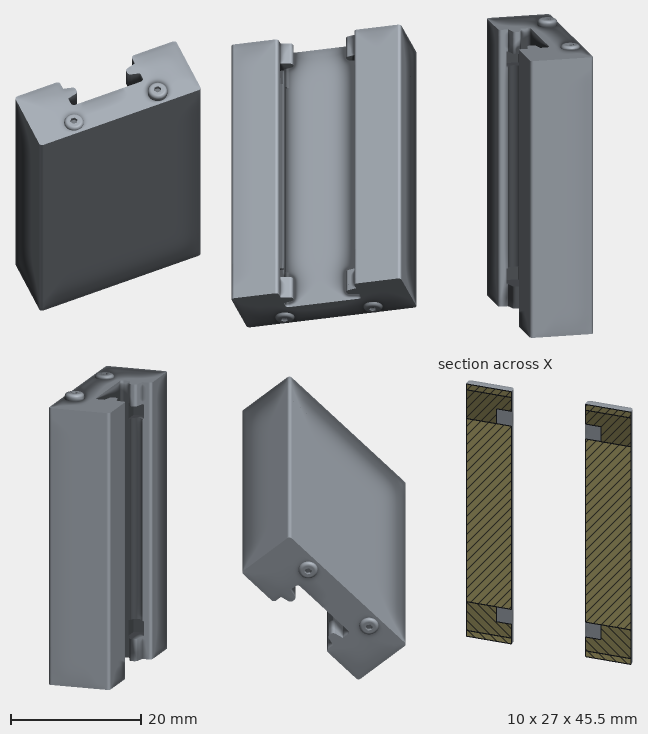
import cadquery as cq
import math

WIDTH_X = 10.0
WIDTH_Y = 27.0
TOTAL_HEIGHT = 45.5

CHANNEL_WIDTH = 12.0
CHANNEL_DEPTH = WIDTH_X / 2
CORNER_RADIUS = 0.5

HEAD_DIAMETER = 3.0
HEAD_FLAT_DIAMETER = 2.0
HEAD_ROUNDING = (HEAD_DIAMETER - HEAD_FLAT_DIAMETER) / 2
HEAD_CYLINDER = 0.5
HEAD_HEIGHT = HEAD_CYLINDER + HEAD_ROUNDING
SOCKET_SIDES = 6
SOCKET_WIDTH = 1.0
SOCKET_DEPTH = 0.5
SCREW_X = 8.0
SCREW_Y = 7.0

PLATE_THICKNESS = 1.0
CAP_THICKNESS = 5.0
CAP_INNER_LAYER = CAP_THICKNESS / 2
STACK_HEIGHT = TOTAL_HEIGHT - HEAD_HEIGHT - HEAD_ROUNDING
BLOCK_HEIGHT = STACK_HEIGHT - 2 * (CAP_THICKNESS + PLATE_THICKNESS)

TONGUE_X = 2.5
TONGUE_LENGTH = 1.77
TONGUE_BASE = 2.0
TONGUE_TAPER = 14.0
TONGUE_TIP_RADIUS = 0.55

GROOVE_DIAMETER = 2.0
POCKET_WIDTH = 2.6
POCKET_DEPTH = 2.5


def channel_edges(body, x, height):
    """The two upright edges where the channel walls meet the plane at x."""
    corners = [
        body.edges(cq.selectors.NearestToPointSelector((x, side * CHANNEL_WIDTH / 2, height / 2)))
        for side in (-1, 1)
    ]
    return corners[0].add(corners[1])


def channel_section(height):
    """Block outline with rounded corners and a channel open toward -X."""
    body = cq.Workplane("XY").box(WIDTH_X, WIDTH_Y, height, centered=(False, True, False))
    channel = cq.Workplane("XY").box(CHANNEL_DEPTH, CHANNEL_WIDTH, height, centered=(False, True, False))
    body = body.edges("|Z").fillet(CORNER_RADIUS).cut(channel)
    return channel_edges(body, 0, height).fillet(CORNER_RADIUS)


def rounded_channel_section(height):
    """Channel section whose two inner corners are rounded as well."""
    body = channel_section(height)
    return channel_edges(body, CHANNEL_DEPTH, height).fillet(CORNER_RADIUS)


def tongue(side, height):
    """Tapered tongue with a rounded tip on the channel wall at side * Y."""
    wall = side * CHANNEL_WIDTH / 2
    tip = wall - side * TONGUE_LENGTH
    half_base = TONGUE_BASE / 2
    half_tip = half_base - TONGUE_LENGTH * math.tan(math.radians(TONGUE_TAPER))
    root = wall + side * CORNER_RADIUS
    body = (
        cq.Workplane("XY")
        .polyline([
            (TONGUE_X - half_base, root),
            (TONGUE_X - half_base, wall),
            (TONGUE_X - half_tip, tip),
            (TONGUE_X + half_tip, tip),
            (TONGUE_X + half_base, wall),
            (TONGUE_X + half_base, root),
        ])
        .close()
        .extrude(height)
    )
    tip_face = "<Y" if side > 0 else ">Y"
    return body.faces(tip_face).edges("|Z").fillet(TONGUE_TIP_RADIUS)


def tongued_section(height):
    """Rounded channel section with a tongue on each channel wall."""
    body = rounded_channel_section(height)
    for side in (-1, 1):
        body = body.union(tongue(side, height))
    return body


def make_block():
    """Carriage block with a half-round ball track along each channel wall, base at z = 0."""
    tracks = (
        cq.Workplane("XY")
        .pushPoints([(TONGUE_X, -CHANNEL_WIDTH / 2), (TONGUE_X, CHANNEL_WIDTH / 2)])
        .circle(GROOVE_DIAMETER / 2)
        .extrude(BLOCK_HEIGHT)
    )
    return channel_section(BLOCK_HEIGHT).cut(tracks)


def make_end_cap():
    """End cap with its block-side face at z = 0 and the tongues in the outer layer."""
    pocket = (
        cq.Workplane("XY")
        .center(TONGUE_X, 0)
        .rect(POCKET_WIDTH, CHANNEL_WIDTH + 2 * POCKET_DEPTH)
        .extrude(CAP_INNER_LAYER)
    )
    inner = rounded_channel_section(CAP_INNER_LAYER).cut(pocket)
    outer = tongued_section(CAP_THICKNESS - CAP_INNER_LAYER)
    return inner.union(outer.translate((0, 0, CAP_INNER_LAYER)))


def make_end_plate(sunk_sides):
    """End plate, inner face at z = 0, with a recess for each sunk screw head."""
    recesses = (
        cq.Workplane("XY")
        .workplane(offset=PLATE_THICKNESS - HEAD_CYLINDER)
        .pushPoints([(SCREW_X, side * SCREW_Y) for side in sunk_sides])
        .circle(HEAD_DIAMETER / 2)
        .extrude(HEAD_CYLINDER)
    )
    return tongued_section(PLATE_THICKNESS).cut(recesses)


def make_screw():
    """Round screw head standing on z = 0, with a socket in its flat top."""
    head = cq.Workplane("XY").circle(HEAD_DIAMETER / 2).extrude(HEAD_HEIGHT)
    head = head.faces(">Z").edges().fillet(HEAD_ROUNDING)
    socket = (
        cq.Workplane("XY")
        .workplane(offset=HEAD_HEIGHT - SOCKET_DEPTH)
        .polygon(SOCKET_SIDES, SOCKET_WIDTH, circumscribed=True)
        .extrude(SOCKET_DEPTH)
    )
    return head.cut(socket)


def place(body, end, distance):
    """Raise a body along +Z by a distance, then mirror it down if it belongs to the -Z end."""
    moved = body.translate((0, 0, distance))
    return moved if end > 0 else moved.mirror("XY")


block = make_block().translate((0, 0, -BLOCK_HEIGHT / 2))

end_caps = []
end_plates = []
screws = []
for end in (-1, 1):
    end_caps.append(place(make_end_cap(), end, BLOCK_HEIGHT / 2))

    sunk_sides = (-1,) if end > 0 else (-1, 1)
    plate = make_end_plate(sunk_sides)
    end_plates.append(place(plate, end, BLOCK_HEIGHT / 2 + CAP_THICKNESS))

    for side in (-1, 1):
        seat_depth = HEAD_CYLINDER if side in sunk_sides else 0
        screw = make_screw().translate((SCREW_X, side * SCREW_Y, 0))
        screws.append(place(screw, end, STACK_HEIGHT / 2 - seat_depth))

result = cq.Compound.makeCompound(
    [block.val()]
    + [cap.val() for cap in end_caps]
    + [plate.val() for plate in end_plates]
    + [screw.val() for screw in screws]
)